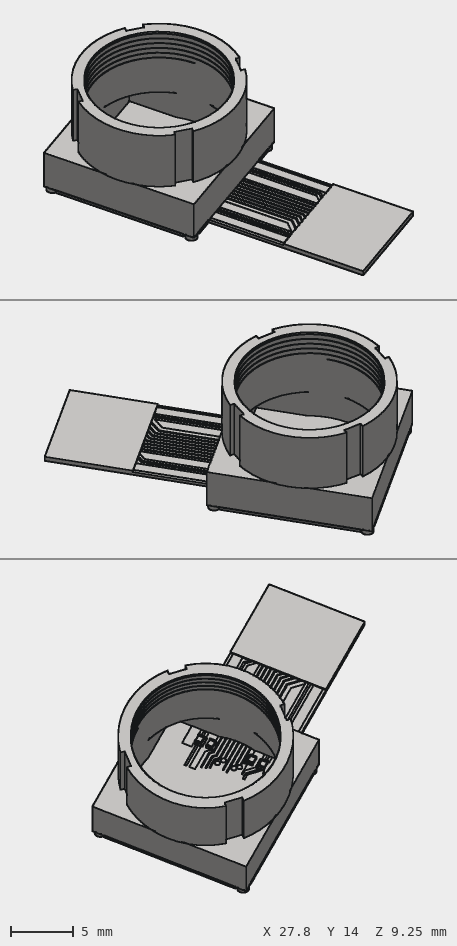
import cadquery as cq
import math


housing_side = 13.6
housing_height = 3.5
barrel_diameter = 14.0
bore_diameter = 12.0
barrel_height = 5.3
barrel_top = housing_height + barrel_height
pocket_side = 11.6
pocket_height = 2.5

notch_width = 1.5
notch_floor_distance = 6.6
notch_angles = (45, 135, 225, 315)

full_ridge_count = 5
ridge_first_depth = 0.2
ridge_pitch = 0.5
ridge_height = 0.02
ridge_width = 0.03

board_thickness = 0.3
board_inset = 0.05
tail_width = 8.45
tail_end = 20.75
stiffener_length = 7.25
stiffener_thickness = 0.15
stiffener_start = tail_end - stiffener_length

foot_diameter = 1.0
foot_height = 0.45
foot_offset = (housing_side - foot_diameter) / 2

copper_thickness = 0.03
bend_angle = 45
signal_width = 0.09
signal_pitch = 0.36
first_signal_y = 1.33
outer_line_width = 0.18
outer_line_y = 2.8
ground_width = 0.84
ground_y = 3.55
upper_ground_start = 3.98
lower_ground_start = 4.07

supply_inner_y = 1.62
supply_outer_y = 2.46
supply_recess_depth = 0.12
supply_recess_start = 4.35
supply_recess_end = 5.25
upper_supply_start = 2.13
upper_supply_start_y = 1.95
upper_supply_bend = 12.96
lower_supply_start = 3.3
lower_supply_tip_width = 0.09
lower_supply_bend = 12.5

signal_lines = (
    (2.5, 4.0, 0.25, None),
    (2.6, 3.8, 0.25, None),
    (2.76, 3.6, 0.33, None),
    (3.86, None, 0, 13.33),
    (3.01, None, 0, 13.17),
    (2.93, None, 0, 13.02),
    (3.53, None, 0, 12.88),
    (3.83, None, 0, 12.67),
)

upper_outer_line = (2.13, None, 0, 13.1)
lower_outer_line = (2.93, 3.47, 0.83, None)

via_diameter = 0.42
via_height = 0.06
via_centers = ((3.43, 0.58), (3.86, 0.25), (3.53, -0.83), (3.83, -1.19))

chip_x = 4.77
chip_rows = (2.8, 1.8, -1.8, -2.8)
chip_length = 0.8
chip_width = 0.55
chip_height = 0.3
terminal_length = 0.15
terminal_step = 0.03
chip_pad_length = 0.9
chip_pad_width = 0.83


def block(x_min, x_max, width, z_min, height):
    """Box centred on the X axis."""
    length = x_max - x_min
    return (
        cq.Workplane("XY")
        .box(length, width, height, centered=(False, True, False))
        .translate((x_min, 0, z_min))
    )


def make_housing():
    half = housing_side / 2
    body = block(-half, half, housing_side, 0, housing_height)
    barrel = (
        cq.Workplane("XY")
        .workplane(offset=housing_height)
        .circle(barrel_diameter / 2)
        .extrude(barrel_height)
    )
    body = body.union(barrel.cut(make_notches()))
    bore = cq.Workplane("XY").circle(bore_diameter / 2).extrude(barrel_top)
    pocket = block(-pocket_side / 2, pocket_side / 2, pocket_side, 0, pocket_height)
    return body.cut(bore).cut(pocket).union(make_thread_ridges())


def make_notches():
    notches = cq.Workplane("XY")
    for angle in notch_angles:
        cutter = block(notch_floor_distance, barrel_diameter, notch_width, housing_height, barrel_height)
        notches = notches.add(cutter.rotate((0, 0, 0), (0, 0, 1), angle))
    return notches.combine()


def make_ridge(index):
    z = barrel_top - ridge_first_depth - index * ridge_pitch
    return (
        cq.Workplane("XY")
        .workplane(offset=z - ridge_width / 2)
        .circle(bore_diameter / 2 + ridge_height)
        .circle(bore_diameter / 2 - ridge_height)
        .extrude(ridge_width)
    )


def make_thread_ridges():
    plus_x_half = block(0, barrel_diameter, 2 * barrel_diameter, 0, barrel_top)
    ridges = make_ridge(full_ridge_count).cut(plus_x_half)
    for index in range(full_ridge_count):
        ridges = ridges.add(make_ridge(index))
    return ridges.combine()


def make_board():
    half = housing_side / 2 - board_inset
    board = block(-half, half, 2 * half, -board_thickness, board_thickness)
    clearances = (
        cq.Workplane("XY")
        .rect(2 * foot_offset, 2 * foot_offset, forConstruction=True)
        .vertices()
        .rect(foot_diameter, foot_diameter)
        .extrude(-board_thickness)
    )
    tail = block(0, tail_end, tail_width, -board_thickness, board_thickness)
    stiffener = block(stiffener_start, tail_end, tail_width, 0, stiffener_thickness)
    return board.cut(clearances).union(tail).union(stiffener)


def make_feet():
    return (
        cq.Workplane("XY")
        .rect(2 * foot_offset, 2 * foot_offset, forConstruction=True)
        .vertices()
        .circle(foot_diameter / 2)
        .extrude(-foot_height)
    )


def copper_area(points):
    return cq.Workplane("XY").polyline(points).close().extrude(copper_thickness)


def line_edge(side, width, y, start_x, jog_x, jog_drop, bend_x):
    """One long edge of a copper line; side is 1 for the +Y edge and -1 for the -Y edge."""
    edge_y = y + side * width / 2
    miter = side * width / 2 * math.tan(math.radians(bend_angle / 2))
    points = [(start_x, edge_y + jog_drop)]
    if jog_x is not None:
        points.append((jog_x + miter, edge_y + jog_drop))
        points.append((jog_x + miter + jog_drop, edge_y))
    if bend_x is None:
        points.append((stiffener_start, edge_y))
    else:
        points.append((bend_x + miter, edge_y))
        points.append((stiffener_start, edge_y - (stiffener_start - bend_x - miter)))
    return points


def copper_line(width, y, route):
    """Line along X to the stiffener, stepping down at 45 degrees at its jog and at its final bend."""
    upper = line_edge(1, width, y, *route)
    lower = line_edge(-1, width, y, *route)
    return copper_area(upper + lower[::-1])


def make_lines():
    lines = [
        copper_line(ground_width, ground_y, (upper_ground_start, None, 0, None)),
        copper_line(ground_width, -ground_y, (lower_ground_start, None, 0, None)),
        copper_line(outer_line_width, outer_line_y, upper_outer_line),
        copper_line(outer_line_width, -outer_line_y, lower_outer_line),
    ]
    for index, route in enumerate(signal_lines):
        lines.append(copper_line(signal_width, first_signal_y - index * signal_pitch, route))
    return lines


def make_upper_supply():
    recess_y = supply_outer_y - supply_recess_depth
    bend_drop = stiffener_start - upper_supply_bend
    jog_drop = upper_supply_start_y - supply_inner_y
    return copper_area(
        [
            (upper_supply_start, supply_outer_y),
            (supply_recess_start, supply_outer_y),
            (supply_recess_start, recess_y),
            (supply_recess_end, recess_y),
            (supply_recess_end, supply_outer_y),
            (upper_supply_bend, supply_outer_y),
            (stiffener_start, supply_outer_y - bend_drop),
            (stiffener_start, supply_inner_y),
            (supply_recess_start, supply_inner_y),
            (supply_recess_start - jog_drop, upper_supply_start_y),
            (upper_supply_start, upper_supply_start_y),
        ]
    )


def make_lower_supply():
    recess_y = -supply_outer_y + supply_recess_depth
    tip_y = -supply_inner_y - lower_supply_tip_width
    supply_width = supply_outer_y - supply_inner_y
    return copper_area(
        [
            (lower_supply_start, -supply_inner_y),
            (lower_supply_bend, -supply_inner_y),
            (lower_supply_bend + supply_width, -supply_outer_y),
            (supply_recess_end, -supply_outer_y),
            (supply_recess_end, recess_y),
            (supply_recess_start, recess_y),
            (supply_recess_start - (tip_y - recess_y), tip_y),
            (lower_supply_start, tip_y),
        ]
    )


def make_vias():
    return cq.Workplane("XY").pushPoints(via_centers).circle(via_diameter / 2).extrude(via_height)


def make_chip(y):
    """Chip body between two slightly larger end terminals, on a copper pad."""
    half = chip_length / 2
    pad = block(-chip_pad_length / 2, chip_pad_length / 2, chip_pad_width, 0, copper_thickness)
    body = block(-half, half, chip_width - 2 * terminal_step, 0, chip_height - terminal_step)
    left_terminal = block(-half, terminal_length - half, chip_width, 0, chip_height)
    right_terminal = block(half - terminal_length, half, chip_width, 0, chip_height)
    chip = pad.union(body).union(left_terminal).union(right_terminal)
    return chip.translate((chip_x, y, 0))


result = make_housing().union(make_board()).union(make_feet())
for copper in make_lines():
    result = result.union(copper)
result = result.union(make_upper_supply()).union(make_lower_supply()).union(make_vias())
for chip_y in chip_rows:
    result = result.union(make_chip(chip_y))